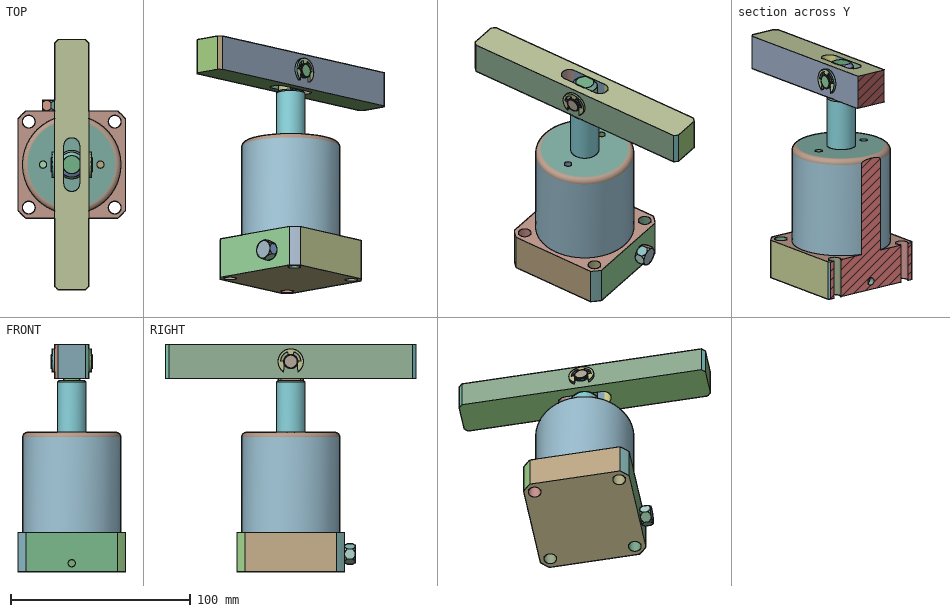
import cadquery as cq
import math

OVERALL_HEIGHT = 127.0

BASE_SIDE = 60.0
BASE_HEIGHT = 22.0
BASE_CORNER_DIAMETER = 79.0
MOUNT_HOLE_DIAMETER = 7.0
MOUNT_HOLE_SPACING = 48.0
CYLINDER_DIAMETER = 55.0
HOUSING_HEIGHT = 78.0
CYLINDER_FILLET = 3.0
SMALL_HOLE_DIAMETER = 4.0
SMALL_HOLE_DEPTH = 7.0
TOP_HOLE_SPACING = 32.0
VENT_HEIGHT = 4.8

ARM_LENGTH = 140.0
ARM_SIDE = 19.0
ARM_CHAMFER = 2.0
SLOT_LENGTH = 30.0
SLOT_WIDTH = 9.0
ARM_BOTTOM = OVERALL_HEIGHT - ARM_SIDE
PIVOT_HEIGHT = OVERALL_HEIGHT - ARM_SIDE / 2

ROD_DIAMETER = 16.0
ROD_CHAMFER = 1.0
SHOULDER_GAP = 1.0
TONGUE_TIP_CLEARANCE = 0.4
TONGUE_CHAMFER = 2.0
SHOULDER_HEIGHT = ARM_BOTTOM - SHOULDER_GAP
TONGUE_DIAMETER = ROD_DIAMETER - 2 * ROD_CHAMFER
TONGUE_TIP = OVERALL_HEIGHT - TONGUE_TIP_CLEARANCE

PIN_DIAMETER = 8.0
PIN_LENGTH = 23.4
PIN_CHAMFER = 0.4
GROOVE_DIAMETER = 7.0
CLIP_DIAMETER = 14.1
CLIP_THICKNESS = 1.4
CLIP_RECESS_DIAMETER = 11.3
CLIP_RECESS_START = 3.0
CLIP_RECESS_END = 71.0
CLIP_MOUTH_WIDTH = 8.3

FITTING_FLATS = 10.0
FITTING_LENGTH = 6.0
FITTING_CHAMFER_LENGTH = 1.5
FITTING_X = -11.5
FITTING_HEIGHT = 10.0
FITTING_CORNERS = FITTING_FLATS / math.cos(math.radians(30))


def rod_along_x(diameter, length):
    """Cylinder on the pivot axis, centred on X = 0."""
    return (
        cq.Workplane("YZ", origin=(-length / 2, 0, PIVOT_HEIGHT))
        .circle(diameter / 2)
        .extrude(length)
    )


def make_housing():
    corner_round = cq.Workplane("XY").circle(BASE_CORNER_DIAMETER / 2).extrude(BASE_HEIGHT)
    base = (
        cq.Workplane("XY")
        .rect(BASE_SIDE, BASE_SIDE)
        .extrude(BASE_HEIGHT)
        .intersect(corner_round)
    )
    cylinder = (
        cq.Workplane("XY")
        .circle(CYLINDER_DIAMETER / 2)
        .extrude(HOUSING_HEIGHT)
        .faces(">Z")
        .edges()
        .fillet(CYLINDER_FILLET)
    )
    mount_holes = (
        cq.Workplane("XY")
        .rect(MOUNT_HOLE_SPACING, MOUNT_HOLE_SPACING, forConstruction=True)
        .vertices()
        .circle(MOUNT_HOLE_DIAMETER / 2)
        .extrude(BASE_HEIGHT)
    )
    top_holes = (
        cq.Workplane("XY", origin=(0, 0, HOUSING_HEIGHT))
        .rarray(TOP_HOLE_SPACING, 1.4, 2, 1)
        .circle(SMALL_HOLE_DIAMETER / 2)
        .extrude(-SMALL_HOLE_DEPTH)
    )
    vent = (
        cq.Workplane("XZ", origin=(0, -BASE_SIDE / 2, VENT_HEIGHT))
        .circle(SMALL_HOLE_DIAMETER / 2)
        .extrude(-SMALL_HOLE_DEPTH)
    )
    return base.union(cylinder).cut(mount_holes).cut(top_holes).cut(vent)


def make_rod():
    shaft = (
        cq.Workplane("XY", origin=(0, 0, HOUSING_HEIGHT))
        .circle(ROD_DIAMETER / 2)
        .extrude(SHOULDER_HEIGHT - HOUSING_HEIGHT)
        .faces(">Z")
        .chamfer(ROD_CHAMFER)
    )
    tongue_height = TONGUE_TIP - SHOULDER_HEIGHT
    tongue = (
        cq.Workplane("XY", origin=(0, 0, SHOULDER_HEIGHT))
        .circle(TONGUE_DIAMETER / 2)
        .extrude(tongue_height)
        .faces(">Z")
        .chamfer(TONGUE_CHAMFER)
    )
    flats = (
        cq.Workplane("XY", origin=(0, 0, SHOULDER_HEIGHT))
        .rect(SLOT_WIDTH, TONGUE_DIAMETER)
        .extrude(tongue_height)
    )
    return shaft.union(tongue.intersect(flats)).cut(rod_along_x(PIN_DIAMETER, ARM_SIDE))


def make_arm():
    bar = (
        cq.Workplane("XY", origin=(0, 0, ARM_BOTTOM))
        .rect(ARM_SIDE, ARM_LENGTH)
        .extrude(ARM_SIDE)
        .edges("|Z")
        .chamfer(ARM_CHAMFER)
    )
    slot = (
        cq.Workplane("XY", origin=(0, 0, ARM_BOTTOM))
        .slot2D(SLOT_LENGTH, SLOT_WIDTH, 90)
        .extrude(ARM_SIDE)
    )
    return bar.cut(slot).cut(rod_along_x(PIN_DIAMETER, ARM_SIDE))


def make_pin():
    """Pin with a groove just outside each side of the arm."""
    pin = rod_along_x(PIN_DIAMETER, PIN_LENGTH).faces("<X or >X").chamfer(PIN_CHAMFER)
    grooved_length = ARM_SIDE + 2 * CLIP_THICKNESS
    grooves = (
        rod_along_x(PIN_DIAMETER, grooved_length)
        .cut(rod_along_x(GROOVE_DIAMETER, grooved_length))
        .cut(rod_along_x(PIN_DIAMETER, ARM_SIDE))
    )
    return pin.cut(grooves)


def make_clip(start_x):
    """E-shaped clip open downwards, filling the space from start_x to one thickness in +X."""
    plane = cq.Workplane("YZ", origin=(start_x, 0, PIVOT_HEIGHT))
    rim = CLIP_DIAMETER / 2
    bore = GROOVE_DIAMETER / 2
    clip = plane.circle(rim).circle(bore).extrude(CLIP_THICKNESS)

    half_mouth = CLIP_MOUTH_WIDTH / 2
    mouth = (
        plane.polyline([(-bore, 0), (bore, 0), (half_mouth, -rim), (-half_mouth, -rim)])
        .close()
        .extrude(CLIP_THICKNESS)
    )

    def polar(radius, degrees):
        angle = math.radians(degrees)
        return (radius * math.cos(angle), radius * math.sin(angle))

    outer = CLIP_RECESS_DIAMETER / 2
    middle_angle = (CLIP_RECESS_START + CLIP_RECESS_END) / 2
    recess = (
        plane.moveTo(0, 0)
        .lineTo(*polar(outer, CLIP_RECESS_START))
        .threePointArc(polar(outer, middle_angle), polar(outer, CLIP_RECESS_END))
        .close()
        .extrude(CLIP_THICKNESS)
    )
    return clip.cut(mouth).cut(recess).cut(recess.mirror("XZ"))


def make_fitting():
    """Hexagon with a corner upward, its corners turned off at both ends."""
    plane = cq.Workplane("XZ", origin=(FITTING_X, BASE_SIDE / 2, FITTING_HEIGHT))
    hexagon = (
        plane.transformed(rotate=(0, 0, 90))
        .polygon(6, FITTING_CORNERS)
        .extrude(-FITTING_LENGTH)
    )

    corner_radius = FITTING_CORNERS / 2
    end_radius = FITTING_FLATS / 2
    half_profile = [
        (0, 0),
        (end_radius, 0),
        (corner_radius, FITTING_CHAMFER_LENGTH),
        (corner_radius, FITTING_LENGTH - FITTING_CHAMFER_LENGTH),
        (end_radius, FITTING_LENGTH),
        (0, FITTING_LENGTH),
    ]
    turned = (
        cq.Workplane("XY", origin=(FITTING_X, BASE_SIDE / 2, FITTING_HEIGHT))
        .polyline(half_profile)
        .close()
        .revolve(360, (0, 0), (0, 1))
    )
    return hexagon.intersect(turned)


housing = make_housing()
rod = make_rod()
arm = make_arm()
pin = make_pin()
clips = [make_clip(x) for x in (-ARM_SIDE / 2 - CLIP_THICKNESS, ARM_SIDE / 2)]
fitting = make_fitting()

result = cq.Compound.makeCompound(
    [housing.val(), rod.val(), arm.val(), pin.val(), *[clip.val() for clip in clips], fitting.val()]
)